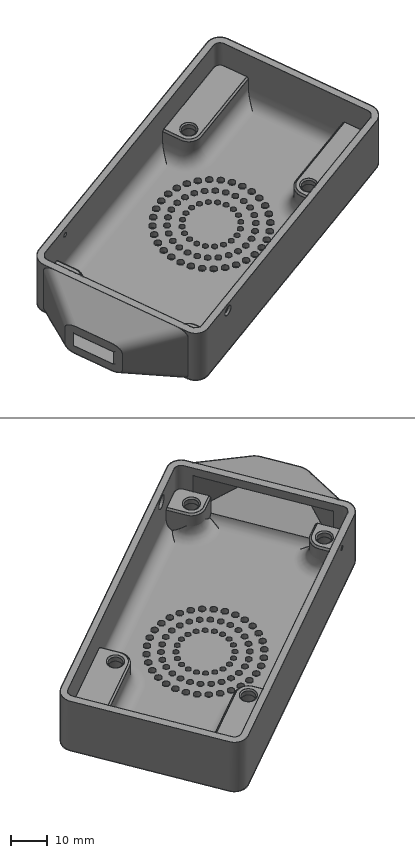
import cadquery as cq
import math

length = 106.5
width = 53.8
height = 20.0
box_length = 95.0
wall = 2.0
floor = 2.0
outer_corner = 4.0
inner_corner = 2.0
edge_chamfer = 0.5

boss_top = 10.8
boss_radius = 4.0
foot_radius = 4.0
boss_hole_x = 19.1
back_hole_inset = 26.3
front_hole_inset = 6.4
boss_hole_diameter = 4.0
boss_hole_chamfer = 0.4
screw_head_diameter = 6.0
screw_seat_z = 8.7
front_foot_sink = 0.5

nose_base_width = 46.0
nose_tip_width = 18.3
nose_tip_bottom = 4.9
nose_tip_top = 16.2
nose_edge_radius = 3.2
slot_width = 12.7
slot_height = 5.1
slot_bottom = 7.9
funnel_width = 40.2
funnel_bottom = 3.4
funnel_top = 17.0

grille_inset = 45.6
grille_rings = [
    (2.0, 16.0, 32, 0.0),
    (1.8, 12.0, 26, 89.0),
    (1.6, 8.0, 20, 91.7),
]

side_hole_inset = 80.7
side_hole_z = 17.1
pinhole_diameter = 1.4
side_hole_diameter = 3.1
side_recess_diameter = 4.2
side_recess_depth = 1.1

back_y = length / 2
tip_y = -length / 2
front_y = back_y - box_length
box_center_y = (back_y + front_y) / 2
inner_x = width / 2 - wall
inner_back_y = back_y - wall
inner_front_y = front_y + wall
inner_length = box_length - 2 * wall
back_hole_y = back_y - back_hole_inset
front_hole_y = front_y + front_hole_inset


def frustum(y_start, start_size, y_end, end_size):
    """Tapered block along Y; a size is (width, bottom z, top z)."""
    def corners(section_y, size):
        section_width, bottom, top = size
        half = section_width / 2
        return [
            cq.Vector(-half, section_y, bottom),
            cq.Vector(half, section_y, bottom),
            cq.Vector(half, section_y, top),
            cq.Vector(-half, section_y, top),
        ]

    start = corners(y_start, start_size)
    end = corners(y_end, end_size)
    outlines = [start, end]
    for i in range(4):
        following = (i + 1) % 4
        outlines.append([start[i], start[following], end[following], end[i]])
    faces = [cq.Face.makeFromWires(cq.Wire.makePolygon(outline, close=True)) for outline in outlines]
    return cq.Workplane(cq.Solid.makeSolid(cq.Shell.makeShell(faces)))


def extend(tip_value, base_value):
    """Carry a nose dimension on from the front face to the inner face of the front wall."""
    return base_value + (base_value - tip_value) * wall / (front_y - tip_y)


def foot_profile(workplane, start):
    """Concave corner profile against a wall at local x = start, rising from local y = floor."""
    arc_shift = foot_radius * (1 - math.sqrt(0.5))
    return (
        workplane.moveTo(start, floor)
        .lineTo(start + foot_radius, floor)
        .threePointArc(
            (start + arc_shift, floor + arc_shift),
            (start, floor + foot_radius),
        )
        .close()
    )


def foot_along_y(wall_x, direction, y_start, y_end):
    """Foot radius beside a wall parallel to Y; direction is +1 or -1 along X."""
    origin_y = y_end if direction > 0 else y_start
    plane = cq.Plane((wall_x, origin_y, 0), (direction, 0, 0), (0, -direction, 0))
    return foot_profile(cq.Workplane(plane), 0).extrude(abs(y_end - y_start))


def foot_along_x(wall_y, direction, x_start, x_end):
    """Foot radius beside a wall parallel to X; direction is +1 or -1 along Y."""
    origin_x = x_start if direction > 0 else x_end
    plane = cq.Plane((origin_x, wall_y, 0), (0, direction, 0), (direction, 0, 0))
    return foot_profile(cq.Workplane(plane), 0).extrude(abs(x_end - x_start))


def make_box():
    """Outer block with rounded corners, chamfered around its underside."""
    return (
        cq.Workplane()
        .center(0, box_center_y)
        .rect(width, box_length)
        .extrude(height)
        .edges("|Z").fillet(outer_corner)
        .faces("<Z").chamfer(edge_chamfer)
    )


def make_cavity():
    """Open-topped pocket inside the box."""
    return (
        cq.Workplane(origin=(0, box_center_y, floor))
        .rect(2 * inner_x, inner_length)
        .extrude(height)
        .edges("|Z").fillet(inner_corner)
    )


def make_nose():
    """Tapered nose that runs on into the front wall, with its four long edges rounded."""
    base = (extend(nose_tip_width, nose_base_width), extend(nose_tip_bottom, 0), extend(nose_tip_top, height))
    tip = (nose_tip_width, nose_tip_bottom, nose_tip_top)
    nose = frustum(inner_front_y, base, tip_y, tip).edges("not(#Y)").fillet(nose_edge_radius)
    height_limit = cq.Workplane(origin=(0, front_y, 0)).rect(width, length).extrude(height)
    return nose.intersect(height_limit)


def make_funnel():
    """Plug opening at the tip, widening into the cavity."""
    tip = (slot_width, slot_bottom, slot_bottom + slot_height)
    return frustum(inner_front_y, (funnel_width, funnel_bottom, funnel_top), tip_y, tip)


def make_wall_feet():
    """Foot radii along the four cavity walls, mitred where they meet."""
    feet = foot_along_y(-inner_x, 1, inner_front_y, inner_back_y)
    feet = feet.union(foot_along_y(inner_x, -1, inner_front_y, inner_back_y))
    feet = feet.union(foot_along_x(inner_back_y, -1, -inner_x, inner_x))
    feet = feet.union(foot_along_x(inner_front_y - front_foot_sink, 1, -inner_x, inner_x))
    return feet


def make_boss(hole_y, end_direction):
    """Boss on the +X side; its free end faces end_direction along Y and its other end joins a wall."""
    side_x = boss_hole_x - boss_radius
    end_y = hole_y + end_direction * boss_radius
    wall_y = inner_back_y if end_direction < 0 else inner_front_y
    boss = (
        cq.Workplane(origin=(0, 0, floor))
        .moveTo(side_x, wall_y)
        .lineTo(inner_x, wall_y)
        .lineTo(inner_x, end_y)
        .lineTo(side_x, end_y)
        .close()
        .extrude(boss_top - floor)
    )
    free_corner = cq.selectors.NearestToPointSelector((side_x, end_y, (floor + boss_top) / 2))
    boss = boss.edges(free_corner).fillet(boss_radius)
    free_end = ">Y" if end_direction > 0 else "<Y"
    boss = boss.faces(">Z").edges(f"<X or %CIRCLE or {free_end}").chamfer(edge_chamfer)
    flare = (
        foot_profile(cq.Workplane("XZ"), boss_radius)
        .revolve(360, (0, 0), (0, 1))
        .translate((boss_hole_x, hole_y, 0))
    )
    return boss.union(flare)


def make_bosses():
    """Long back bosses and short front bosses, mirrored about the middle of the box."""
    back_boss = make_boss(back_hole_y, -1)
    back_boss = back_boss.union(foot_along_y(boss_hole_x - boss_radius, -1, back_hole_y, inner_back_y))
    back_boss = back_boss.union(foot_along_x(back_hole_y - boss_radius, -1, boss_hole_x, inner_x))
    bosses = back_boss.union(make_boss(front_hole_y, 1))
    return bosses.union(bosses.mirror("YZ"))


def drill_boss_holes(body):
    """Screw hole with a chamfered mouth and a wide recess from below, in each boss."""
    mouth_radius = boss_hole_diameter / 2 + boss_hole_chamfer
    for x in (-boss_hole_x, boss_hole_x):
        for y in (back_hole_y, front_hole_y):
            hole = cq.Solid.makeCylinder(boss_hole_diameter / 2, height, cq.Vector(x, y, 0))
            mouth = cq.Solid.makeCone(
                boss_hole_diameter / 2,
                mouth_radius,
                boss_hole_chamfer,
                cq.Vector(x, y, boss_top - boss_hole_chamfer),
            )
            head = cq.Solid.makeCylinder(screw_head_diameter / 2, screw_seat_z, cq.Vector(x, y, 0))
            for cutter in (hole, mouth, head):
                body = body.cut(cq.Workplane(cutter))
    return body


def drill_grille(body):
    """Rings of small holes through the floor."""
    for diameter, radius, count, first_angle in grille_rings:
        ring = (
            cq.Workplane(origin=(0, back_y - grille_inset, 0))
            .polarArray(radius, first_angle, 360, count)
            .circle(diameter / 2)
            .extrude(height)
        )
        body = body.cut(ring)
    return body


def drill_side_holes(body):
    """Pinhole through the -X wall, and a hole with an inner recess through the +X wall."""
    axis_plane = cq.Workplane("YZ", origin=(0, back_y - side_hole_inset, side_hole_z))
    pinhole = axis_plane.circle(pinhole_diameter / 2).extrude(-width)
    hole = axis_plane.circle(side_hole_diameter / 2).extrude(width)
    recess = axis_plane.circle(side_recess_diameter / 2).extrude(inner_x + side_recess_depth)
    return body.cut(pinhole).cut(hole).cut(recess)


cavity = make_cavity()
inner_parts = make_wall_feet().union(make_bosses()).intersect(cavity)

result = make_box().union(make_nose()).cut(cavity)
result = result.union(inner_parts)
result = result.cut(make_funnel())
result = drill_boss_holes(result)
result = drill_grille(result)
result = drill_side_holes(result)